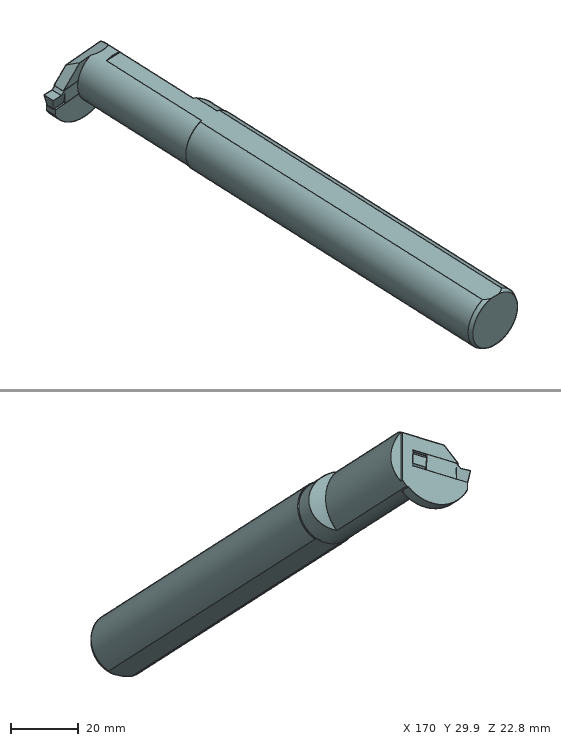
import cadquery as cq
import math

TOTAL_LENGTH = 170.0
SHANK_RADIUS = 10.0
FLAT_HEIGHT = 9.2
NECK_RADIUS = 9.74
NECK_END = 49.5
NECK_FLAT_START = 9.5
END_CHAMFER_LENGTH = 1.4
END_CHAMFER_DEPTH = 0.7
STEP_CHAMFER = SHANK_RADIUS - NECK_RADIUS

HEAD_CENTER_Y = -7.3
RELIEF_RADIUS = 13.5
RELIEF_END = 40.1

PLATE_THICKNESS = 3.9
HEAD_RADIUS = 13.1
HEAD_FRONT_Y = -18.9
SLANT_OFFSET = 17.2
SIDE_FACE_Y = 3.5
SIDE_CHAMFER_START = 1.0
SIDE_CHAMFER_END = 2.5
TOP_CHAMFER_HEIGHT = 7.1
TOP_CHAMFER_ANGLE = 25.0
TILT = 4.0

SLOT_HALF_HEIGHT = 2.5
TAIL_LENGTH = 4.8
TAIL_SETBACK = 0.3
TAIL_CHAMFER = 1.0
SHOULDER_Y = -15.0
NOSE_ROOT_Y = -16.5
TIP_Y = HEAD_CENTER_Y - 12.61
NOSE_TOP_Z = 0.2
NOSE_BOTTOM_Y = -19.2
NOSE_SIDE_RELIEF = 0.7

CUT_SIZE = 51.0
tilt_slope = math.tan(math.radians(TILT))


def cylinder_x(radius, start, end, center_y=0.0):
    """Cylinder along X between two stations."""
    return cq.Workplane("YZ", origin=(start, center_y, 0)).circle(radius).extrude(end - start)


def block(start, end, y_low, y_high, z_low, z_high):
    """Box given by its limits along each axis."""
    size = (end - start, y_high - y_low, z_high - z_low)
    return cq.Workplane("XY").box(*size, centered=False).translate((start, y_low, z_low))


def slot_top(y):
    return SLOT_HALF_HEIGHT + tilt_slope * y


def slot_bottom(y):
    return -SLOT_HALF_HEIGHT + tilt_slope * y


def make_shank():
    """Round shank with a top and a bottom flat and chamfered ends."""
    outline = [
        (NECK_END, 0),
        (NECK_END, SHANK_RADIUS - STEP_CHAMFER),
        (NECK_END + STEP_CHAMFER, SHANK_RADIUS),
        (TOTAL_LENGTH - END_CHAMFER_LENGTH, SHANK_RADIUS),
        (TOTAL_LENGTH, SHANK_RADIUS - END_CHAMFER_DEPTH),
        (TOTAL_LENGTH, 0),
    ]
    shank = cq.Workplane("XY").polyline(outline).close().revolve(360, (0, 0, 0), (1, 0, 0))
    return shank.intersect(
        block(NECK_END, TOTAL_LENGTH, -CUT_SIZE, CUT_SIZE, -FLAT_HEIGHT, FLAT_HEIGHT)
    )


def make_neck():
    """Neck with a top flat and a round side relief that runs out in a 45 degree cone."""
    neck = cylinder_x(NECK_RADIUS, 0, NECK_END)
    neck = neck.cut(block(NECK_FLAT_START, NECK_END, -CUT_SIZE, CUT_SIZE, FLAT_HEIGHT, CUT_SIZE))
    relief = (
        cq.Workplane("XY", origin=(0, HEAD_CENTER_Y, 0))
        .polyline([
            (0, RELIEF_RADIUS),
            (RELIEF_END, RELIEF_RADIUS),
            (RELIEF_END + CUT_SIZE, RELIEF_RADIUS + CUT_SIZE),
            (0, RELIEF_RADIUS + CUT_SIZE),
        ])
        .close()
        .revolve(360, (0, 0, 0), (1, 0, 0))
    )
    return neck.cut(relief)


def make_plate():
    """Round head plate with a front flat and a 45 degree upper edge."""
    plate = cylinder_x(HEAD_RADIUS, 0, PLATE_THICKNESS, HEAD_CENTER_Y)
    plate = plate.intersect(
        block(0, PLATE_THICKNESS, HEAD_FRONT_Y, CUT_SIZE, -CUT_SIZE, CUT_SIZE)
    )
    upper_edge = (
        cq.Workplane("YZ")
        .polyline([
            (-CUT_SIZE, SLANT_OFFSET - CUT_SIZE),
            (0, SLANT_OFFSET),
            (-CUT_SIZE, SLANT_OFFSET),
        ])
        .close()
        .extrude(PLATE_THICKNESS)
    )
    return plate.cut(upper_edge)


def make_side_chamfer():
    """Cutter for the flat and chamfer on the +Y side of the head."""
    relief_y = HEAD_CENTER_Y + RELIEF_RADIUS
    return (
        cq.Workplane("XY", origin=(0, 0, -CUT_SIZE / 2))
        .polyline([
            (0, SIDE_FACE_Y),
            (SIDE_CHAMFER_START, SIDE_FACE_Y),
            (SIDE_CHAMFER_END, relief_y),
            (0, relief_y + SIDE_CHAMFER_END),
        ])
        .close()
        .extrude(CUT_SIZE)
    )


def make_top_chamfer():
    """Cutter above the inclined plane that slopes down to the head's end face."""
    return (
        block(-CUT_SIZE, CUT_SIZE, -CUT_SIZE, CUT_SIZE, 0, CUT_SIZE)
        .rotate((0, 0, 0), (0, 1, 0), -TOP_CHAMFER_ANGLE)
        .rotate((0, 0, 0), (1, 0, 0), TILT)
        .translate((0, 0, TOP_CHAMFER_HEIGHT))
        .intersect(block(0, NECK_FLAT_START, -CUT_SIZE, CUT_SIZE, 0, CUT_SIZE))
    )


def make_slot():
    """Cutter for the tilted insert slot, closed at Y = 0 and open at the front."""
    return (
        cq.Workplane("YZ")
        .polyline([
            (0, slot_top(0)),
            (0, slot_bottom(0)),
            (-CUT_SIZE, slot_bottom(-CUT_SIZE)),
            (-CUT_SIZE, slot_top(-CUT_SIZE)),
        ])
        .close()
        .extrude(PLATE_THICKNESS)
    )


def make_holder():
    holder = make_shank().union(make_neck()).union(make_plate())
    return holder.cut(make_side_chamfer()).cut(make_top_chamfer()).cut(make_slot())


def make_insert_tail():
    """Cutter that sets the rear of the insert back and chamfers its edges."""
    chamfer_end = TAIL_SETBACK + TAIL_CHAMFER
    chamfer_height = SLOT_HALF_HEIGHT - TAIL_CHAMFER
    return (
        cq.Workplane("XZ")
        .polyline([
            (0, CUT_SIZE),
            (chamfer_end, CUT_SIZE),
            (chamfer_end, SLOT_HALF_HEIGHT),
            (TAIL_SETBACK, chamfer_height),
            (TAIL_SETBACK, -chamfer_height),
            (chamfer_end, -SLOT_HALF_HEIGHT),
            (chamfer_end, -CUT_SIZE),
            (0, -CUT_SIZE),
        ])
        .close()
        .extrude(TAIL_LENGTH)
        .rotate((0, 0, 0), (1, 0, 0), TILT)
    )


def make_nose_relief():
    """Pair of wedge cutters that taper both sides of the nose downwards."""
    bottom = slot_bottom(NOSE_BOTTOM_Y)
    wedge = (
        cq.Workplane("XZ", origin=(0, SHOULDER_Y, 0))
        .polyline([(0, NOSE_TOP_Z), (NOSE_SIDE_RELIEF, bottom), (0, bottom)])
        .close()
        .extrude(SHOULDER_Y - TIP_Y)
    )
    mid_plane = (PLATE_THICKNESS / 2, 0, 0)
    return wedge.union(wedge.mirror("YZ", mid_plane))


def make_insert():
    """Cutting insert filling the slot, with a lowered and tapered nose."""
    insert = (
        cq.Workplane("YZ")
        .polyline([
            (0, slot_bottom(0)),
            (0, slot_top(0)),
            (SHOULDER_Y, slot_top(SHOULDER_Y)),
            (NOSE_ROOT_Y, NOSE_TOP_Z),
            (TIP_Y, NOSE_TOP_Z),
            (NOSE_BOTTOM_Y, slot_bottom(NOSE_BOTTOM_Y)),
        ])
        .close()
        .extrude(PLATE_THICKNESS)
    )
    return insert.cut(make_insert_tail()).cut(make_nose_relief())


holder = make_holder()
insert = make_insert()
result = cq.Compound.makeCompound([holder.val(), insert.val()])